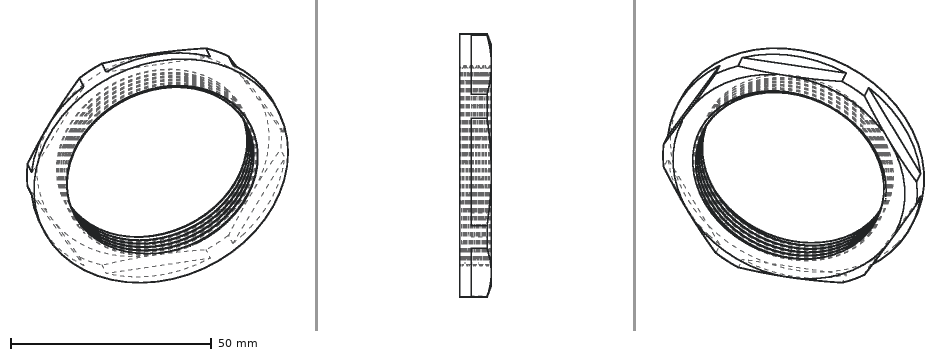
import cadquery as cq
import math

total_length = 7.9
flange_thickness = 2.9
outer_diameter = 65.75
across_flats = 60.0
flat_count = 6
chamfer_angle = 20.0

thread_pitch = 1.6
thread_root_diameter = 50.16
thread_crest_diameter = 48.5
thread_crest_flat = 0.25
thread_flank_angle = 30.0
thread_start_angle = 21.0
mouth_clearance = 0.03

hexagon_length = total_length - flange_thickness
outer_radius = outer_diameter / 2
chamfer_start_radius = across_flats / 2
chamfer_depth = (outer_radius - chamfer_start_radius) * math.tan(math.radians(chamfer_angle))
root_radius = thread_root_diameter / 2
crest_radius = thread_crest_diameter / 2
flank_slope = math.tan(math.radians(thread_flank_angle))


def make_blank():
    """Round blank with a chamfered edge, bored to the thread crest."""
    return (
        cq.Workplane("XY")
        .moveTo(0, crest_radius)
        .lineTo(0, chamfer_start_radius)
        .lineTo(chamfer_depth, outer_radius)
        .lineTo(total_length, outer_radius)
        .lineTo(total_length, crest_radius)
        .close()
        .revolve(360, (0, 0, 0), (1, 0, 0))
    )


def cut_wrench_flats(blank):
    """Cut the hexagon flats up to the flange, the first one facing +Z."""
    cutter_height = outer_radius
    cutter = (
        cq.Workplane("XY")
        .box(hexagon_length, outer_diameter, cutter_height, centered=(False, True, False))
        .translate((0, 0, across_flats / 2))
    )
    for index in range(flat_count):
        blank = blank.cut(cutter.rotate((0, 0, 0), (1, 0, 0), index * 360 / flat_count))
    return blank


def make_thread_groove():
    """Helical groove of trapezoidal section, one whole turn longer than the ring at each end."""
    overrun = thread_pitch
    mouth_radius = crest_radius - mouth_clearance
    crest_half_width = (thread_pitch - thread_crest_flat) / 2
    root_half_width = crest_half_width - (root_radius - crest_radius) * flank_slope
    mouth_half_width = crest_half_width + mouth_clearance * flank_slope
    helix = cq.Wire.makeHelix(thread_pitch, total_length + 2 * overrun, crest_radius)
    groove = (
        cq.Workplane("XZ")
        .moveTo(mouth_radius, -mouth_half_width)
        .lineTo(root_radius, -root_half_width)
        .lineTo(root_radius, root_half_width)
        .lineTo(mouth_radius, mouth_half_width)
        .close()
        .sweep(cq.Workplane(helix), isFrenet=True)
    )
    return (
        groove.translate((0, 0, -overrun))
        .rotate((0, 0, 0), (0, 1, 0), 90)
        .rotate((0, 0, 0), (1, 0, 0), 180 - thread_start_angle)
    )


result = cut_wrench_flats(make_blank()).cut(make_thread_groove(), clean=False)